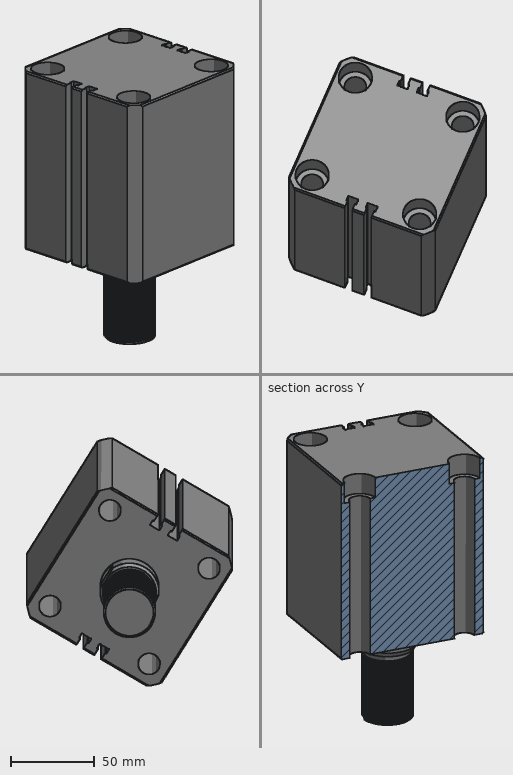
import cadquery as cq

total_height = 172
housing_side = 94.0
housing_height = 114.0
housing_bottom = total_height - housing_height
corner_radius = 62.1
end_chamfer = 0.95

hole_pitch = 69.0
hole_diameter = 13.0
counterbore_diameter = 20.0
counterbore_depth = 12.9

slot_spacing = 12.4
slot_mouth_width = 4.8
slot_mouth_depth = 4.6
slot_foot_width = 6.5
slot_depth = 7.9

collar_diameter = 35.1
collar_length = 12.9
collar_bottom = housing_bottom - collar_length
collar_chamfer_height = 3.0
collar_chamfer_width = 1.5
flat_distance = 32.0
flat_start = 1.46

thread_diameter = 30.8
thread_pitch = 1.5
core_diameter = 28.5
neck_length = 2.5
thread_root_width = 0.95
root_overlap = 0.2


def make_housing():
    block = (
        cq.Workplane("XY", origin=(0, 0, housing_bottom))
        .rect(housing_side, housing_side)
        .extrude(housing_height)
        .faces("<Z or >Z")
        .chamfer(end_chamfer)
    )
    corner_turning = (
        cq.Workplane("XY", origin=(0, 0, housing_bottom)).circle(corner_radius).extrude(housing_height)
    )
    block = block.intersect(corner_turning)
    block = (
        block.faces(">Z")
        .workplane(origin=(0, 0, total_height))
        .rect(hole_pitch, hole_pitch, forConstruction=True)
        .vertices()
        .cboreHole(hole_diameter, counterbore_diameter, counterbore_depth)
    )
    for face_sign in (-1, 1):
        for slot_sign in (-1, 1):
            block = block.cut(make_slot(slot_sign * slot_spacing / 2, face_sign))
    return block


def make_slot(x, face_sign):
    """T-slot at x in the -Y or +Y face, running the full housing height."""

    def cutter(width, depth_from, depth_to):
        middle = housing_side / 2 - (depth_from + depth_to) / 2
        return (
            cq.Workplane("XY", origin=(x, face_sign * middle, housing_bottom))
            .rect(width, depth_to - depth_from)
            .extrude(housing_height)
        )

    mouth = cutter(slot_mouth_width, 0, slot_depth)
    foot = cutter(slot_foot_width, slot_mouth_depth, slot_depth)
    return mouth.union(foot)


def make_rod_end():
    radius = collar_diameter / 2
    collar = (
        cq.Workplane("XZ")
        .moveTo(0, housing_bottom)
        .lineTo(radius, housing_bottom)
        .lineTo(radius, collar_bottom + collar_chamfer_height)
        .lineTo(radius - collar_chamfer_width, collar_bottom)
        .lineTo(0, collar_bottom)
        .close()
        .revolve(360, (0, 0), (0, 1))
    )
    flat_depth = (collar_diameter - flat_distance) / 2
    flat_top = housing_bottom - flat_start
    for side in (-1, 1):
        flat_cutter = (
            cq.Workplane("XZ")
            .moveTo(side * radius, flat_top)
            .lineTo(side * flat_distance / 2, flat_top - flat_depth)
            .lineTo(side * flat_distance / 2, collar_bottom)
            .lineTo(side * radius, collar_bottom)
            .close()
            .extrude(radius, both=True)
        )
        collar = collar.cut(flat_cutter)
    return collar


def make_stud():
    core_radius = core_diameter / 2
    core = cq.Workplane("XY").circle(core_radius).extrude(collar_bottom)
    half_ridge = thread_root_width / 2
    helix_height = collar_bottom - neck_length - thread_root_width
    helix = cq.Wire.makeHelix(thread_pitch, helix_height, core_radius)
    ridge = (
        cq.Workplane("XZ")
        .moveTo(core_radius - root_overlap, -half_ridge)
        .lineTo(thread_diameter / 2, 0)
        .lineTo(core_radius - root_overlap, half_ridge)
        .close()
        .sweep(cq.Workplane(helix), isFrenet=True)
        .translate((0, 0, half_ridge))
    )
    return core.union(ridge)


housing = make_housing()
rod_end = make_rod_end()
stud = make_stud()

result = cq.Compound.makeCompound([housing.val(), rod_end.val(), stud.val()])